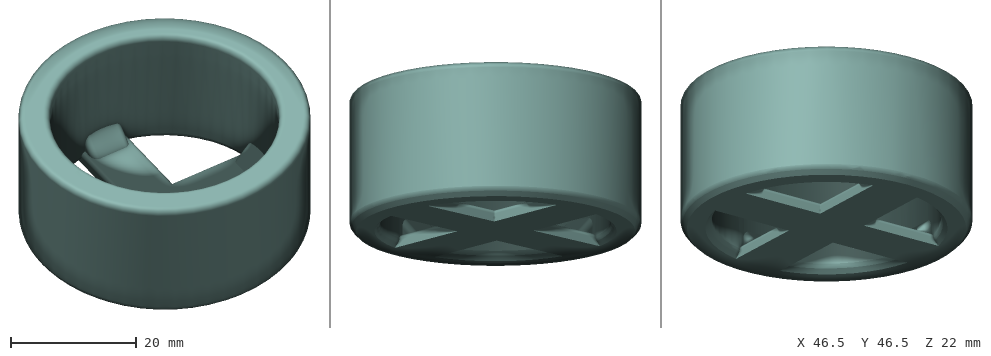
import cadquery as cq
import math

outer_diameter = 46.5
bore_diameter = 36.5
height = 22.0
edge_size = 1.0

arm_width = 8.6
arm_height = 2.0
arm_rounding = 0.7
arm_count = 4

block_width = 7.0
block_start_radius = 15.2
block_slope = 45
block_rounding = 1.0

outer_radius = outer_diameter / 2
bore_radius = bore_diameter / 2
embedded_radius = (outer_radius + bore_radius) / 2


def make_ring():
    ring = (
        cq.Workplane("XY")
        .circle(outer_radius)
        .circle(bore_radius)
        .extrude(height)
    )
    ring = ring.faces(">Z").edges().fillet(edge_size)
    ring = ring.faces("<Z").edges().chamfer(edge_size)
    bevel_tops = cq.selectors.BoxSelector(
        (-outer_diameter, -outer_diameter, edge_size / 2),
        (outer_diameter, outer_diameter, edge_size * 3 / 2),
        boundingbox=True,
    )
    return ring.edges(bevel_tops).fillet(edge_size)


def make_cross():
    length = 2 * embedded_radius
    along_x = cq.Workplane("XY").rect(length, arm_width).extrude(arm_height)
    along_y = cq.Workplane("XY").rect(arm_width, length).extrude(arm_height)
    cross = along_x.union(along_y)
    return cross.faces(">Z").edges().fillet(arm_rounding)


def make_block():
    """Sloped block at the +X arm end, rising outward into the ring wall."""
    run = embedded_radius - block_start_radius
    rise = run * math.tan(math.radians(block_slope))
    block = (
        cq.Workplane("XZ")
        .moveTo(block_start_radius, arm_height)
        .lineTo(embedded_radius, arm_height + rise)
        .lineTo(embedded_radius, 0)
        .lineTo(block_start_radius, 0)
        .close()
        .extrude(block_width / 2, both=True)
    )
    slope_sides = cq.selectors.ParallelDirSelector(cq.Vector(run, 0, rise))
    return block.edges(slope_sides).fillet(block_rounding)


result = make_ring().union(make_cross())
block = make_block()
for arm in range(arm_count):
    result = result.union(block.rotate((0, 0, 0), (0, 0, 1), arm * 360 / arm_count))